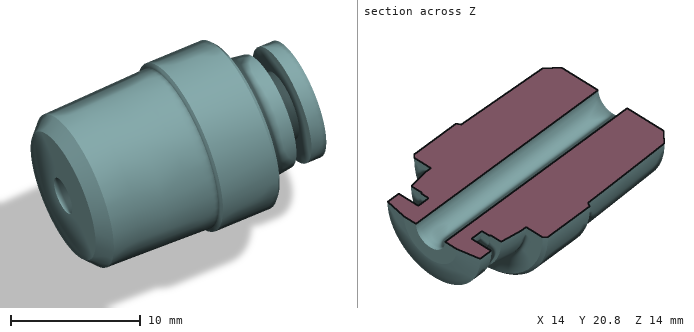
import cadquery as cq

total_length = 20.75
bore_diameter = 3.0

plug_tip_radius = 5.33
plug_chamfer = 1.04
plug_front_radius = plug_tip_radius + plug_chamfer
plug_end_radius = 6.65
plug_end = 10.0

collar_radius = 14.0 / 2
collar_end = 15.3
collar_front_bevel = 0.2
collar_back_chamfer = 0.3

sleeve_radius = 10.0 / 2
sleeve_tip_radius = 4.7
sleeve_taper_start = 15.81
sleeve_end = 17.82
step_radius = 7.2 / 2
step_height = 0.1

neck_radius = 5.6 / 2
disc_radius = 9.7 / 2
disc_start = 19.07
crown_start = 20.35
crown_radius = 2.75

profile = [
    (0, 0),
    (plug_tip_radius, 0),
    (plug_front_radius, plug_chamfer),
    (plug_end_radius, plug_end),
    (collar_radius, plug_end + collar_front_bevel),
    (collar_radius, collar_end - collar_back_chamfer),
    (collar_radius - collar_back_chamfer, collar_end),
    (sleeve_radius, collar_end),
    (sleeve_radius, sleeve_taper_start),
    (sleeve_tip_radius, sleeve_end),
    (step_radius, sleeve_end),
    (step_radius, sleeve_end + step_height),
    (neck_radius, sleeve_end + step_height),
    (neck_radius, disc_start),
    (disc_radius, disc_start),
    (disc_radius, crown_start),
    (crown_radius, total_length),
    (0, total_length),
]
body = cq.Workplane("XY").polyline(profile).close().revolve(360, (0, 0, 0), (0, 1, 0))

bore = cq.Workplane("XZ").circle(bore_diameter / 2).extrude(-total_length)

result = body.cut(bore)